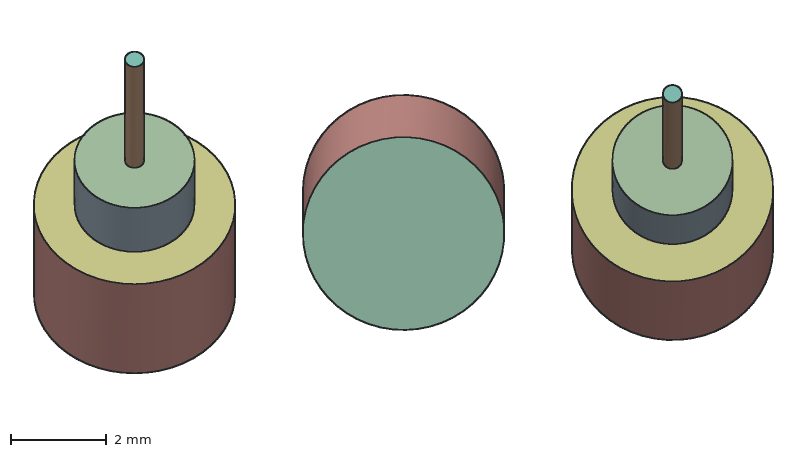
import cadquery as cq

total_height = 8.0
body_diameter = 4.2
body_height = 3.05
neck_diameter = 2.5
neck_height = 1.5
pin_diameter = 0.4
pin_height = total_height - body_height - neck_height


def add_cylinder_on_top(part, diameter, height):
    """Stack a coaxial cylinder on the highest flat face."""
    return part.faces(">Z").workplane().circle(diameter / 2).extrude(height)


result = cq.Workplane("XY").circle(body_diameter / 2).extrude(body_height)

result = add_cylinder_on_top(result, neck_diameter, neck_height)

result = add_cylinder_on_top(result, pin_diameter, pin_height)